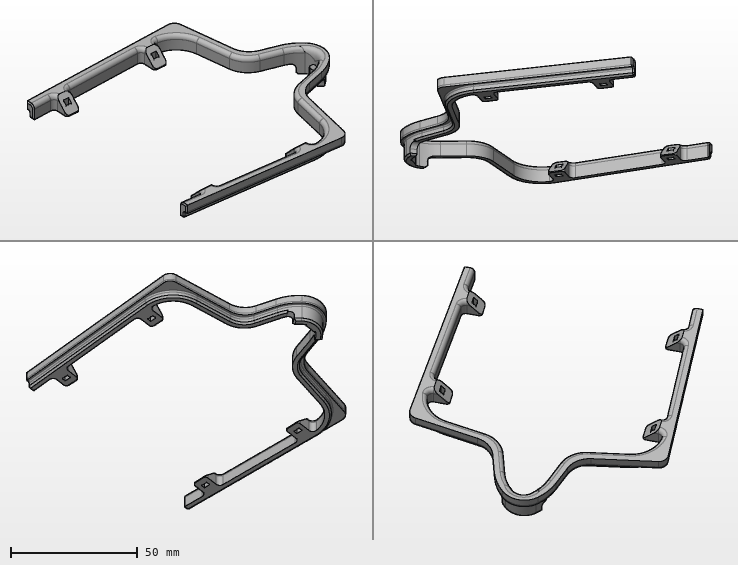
import cadquery as cq
import math

LENGTH = 112.9
WIDTH = 104.5
FLANGE_DEPTH = 4.1
RAIL_DEPTH = 7.0
BOSS_DEPTH = 12.0

LEG_LEAN = 3.0
SHOULDER_SLOPE = 10.0
NECK_SLOPE = 73.0
APEX_HALF_ANGLE = 45.0

RAIL_WIDTH = 4.2
WALL_WIDTH = 2.7
INNER_TOP_FILLET = 1.9
FLANGE_EDGE_HEIGHT = 0.8
FLANGE_EDGE_TAPER = 8.0
WALL_ROOT_FILLET = 0.6
WALL_EDGE_CHAMFER = 0.8
LEG_END_CHAMFER = 0.6

TOLERANCE = 1.13e-06

APEX_RADIUS = 10.2
CROWN_RADIUS = 21.5
VALLEY_RADIUS = 10.2
CORNER_RADIUS = 3.7
CORNER_Y = 80.5
LEG_OVERRUN = 5.6

INNER_VALLEY_RADIUS = 11.6
INNER_CORNER_RADIUS = 12.6

TABS = [(39.1, 62.2), (37.0, 14.8)]
TAB_WIDTH = 6.8
TAB_LENGTH = 13.5
TAB_ROOT_FILLET = 1.9
TAB_TIP_RADIUS = 1.4
TAB_TIP_THICKNESS = 0.5
HOLE_LENGTH = 1.7
HOLE_WIDTH = 2.7
HOLE_SETBACK = 2.8

SCOOP_RADIUS = 5.0
SCOOP_REACH = 2.7
SCOOP_DEPTH = 4.7

BOSS_END_X = 6.4
BOSS_END_Y = 104.3
BOSS_END_TURN = 55.0
BOSS_ROOT_RADIUS = 2.4
BOSS_END_CHAMFER = 0.8
PAD_Y = 107.8
PAD_WIDTH = 5.2
PAD_TOP = 6.4
PAD_SLOPE_HEIGHT = 2.1


def direction(degrees):
    return cq.Vector(math.cos(math.radians(degrees)), math.sin(math.radians(degrees)))


def crossing(point_a, angle_a, point_b, angle_b):
    """Point where two lines, each given by a point and an angle, meet."""
    along_a = direction(angle_a)
    across_b = direction(angle_b + 90)
    return point_a + along_a * ((point_b - point_a).dot(across_b) / along_a.dot(across_b))


def left_half_corners(inset):
    """Sharp corners of the left half outline, leg end to apex, moved inwards by `inset`."""
    apex_radius = APEX_RADIUS - inset
    apex_centre = cq.Vector(0, LENGTH - APEX_RADIUS)
    apex_tangent = apex_centre + direction(90 + APEX_HALF_ANGLE) * apex_radius
    apex = crossing(apex_tangent, APEX_HALF_ANGLE, cq.Vector(), 90)
    half_turn = math.radians(NECK_SLOPE - APEX_HALF_ANGLE) / 2
    crown_tangent_length = (CROWN_RADIUS - inset) * math.tan(half_turn)
    crown = apex_tangent - direction(APEX_HALF_ANGLE) * crown_tangent_length

    corner_turn = math.radians(90 + LEG_LEAN - SHOULDER_SLOPE)
    lean = math.radians(LEG_LEAN)
    corner_overshoot = CORNER_RADIUS * (math.tan(corner_turn / 2) * math.sin(lean) - 1 + math.cos(lean))
    outer_corner = cq.Vector(-WIDTH / 2 - corner_overshoot, CORNER_Y)
    shoulder_point = outer_corner + direction(SHOULDER_SLOPE - 90) * inset
    leg_point = outer_corner + direction(LEG_LEAN) * inset
    leg_angle = 90 + LEG_LEAN

    valley = crossing(shoulder_point, SHOULDER_SLOPE, crown, NECK_SLOPE)
    corner = crossing(shoulder_point, SHOULDER_SLOPE, leg_point, leg_angle)
    leg_end = crossing(leg_point, leg_angle, cq.Vector(0, -LEG_OVERRUN), 0)
    return [leg_end, corner, valley, crown, apex]


def outline(inset, corner_radius, valley_radius):
    """Closed outline of the whole rail, straight across the leg ends."""
    left = left_half_corners(inset)
    left_radii = [corner_radius, valley_radius, CROWN_RADIUS - inset]
    corners = left + [cq.Vector(-p.x, p.y) for p in reversed(left[:-1])]
    radii = left_radii + [APEX_RADIUS - inset] + left_radii[::-1]

    position = corners[0]
    path = cq.Workplane("XY").moveTo(position.x, position.y)
    for before, corner, after, radius in zip(corners, corners[1:], corners[2:], radii):
        back = (before - corner).normalized()
        ahead = (after - corner).normalized()
        half_angle = back.getAngle(ahead) / 2
        tangent_length = radius / math.tan(half_angle)
        start = corner + back * tangent_length
        middle = corner + (back + ahead).normalized() * (radius / math.sin(half_angle) - radius)
        end = corner + ahead * tangent_length
        if (start - position).Length > TOLERANCE:
            path = path.lineTo(start.x, start.y)
        path = path.threePointArc((middle.x, middle.y), (end.x, end.y))
        position = end
    return path.lineTo(corners[-1].x, corners[-1].y).close()


def outer_outline():
    return outline(0, CORNER_RADIUS, VALLEY_RADIUS)


def wall_outline():
    """Outer side of the wall that hangs below the flange."""
    return outline(RAIL_WIDTH - WALL_WIDTH, INNER_CORNER_RADIUS + WALL_WIDTH, INNER_VALLEY_RADIUS - WALL_WIDTH)


def inner_outline():
    return outline(RAIL_WIDTH, INNER_CORNER_RADIUS, INNER_VALLEY_RADIUS)


def copies_on_tabs(solid):
    """Copies of a solid drawn with the tip of a right-hand tab at the origin, one on each tab."""
    copies = cq.Workplane("XY")
    for tip_x, centre_y in TABS:
        right = solid.translate((tip_x, centre_y, 0))
        copies = copies.add(right).add(right.mirror("YZ"))
    return copies.combine()


def is_tab_root(edge):
    """True for the upright edges where the sides of a tab meet its leg."""
    return any(
        abs(abs(edge.Center().y - centre_y) - TAB_WIDTH / 2) < TOLERANCE
        and abs(edge.Center().x) > tip_x + TAB_TIP_RADIUS
        for tip_x, centre_y in TABS
    )


def is_tab_tip(edge):
    """True for edges that lie on the end of a tab."""
    return any(
        abs(edge.Center().y - centre_y) <= TAB_WIDTH / 2 + TOLERANCE
        and abs(abs(edge.Center().x) - tip_x) < TOLERANCE
        for tip_x, centre_y in TABS
    )


def opening():
    """Space inside the rail, with the tabs left standing at full depth."""
    tab = cq.Workplane("XY").box(TAB_LENGTH, TAB_WIDTH, BOSS_DEPTH, centered=(False, True, False))
    space = inner_outline().extrude(-BOSS_DEPTH).cut(copies_on_tabs(tab.translate((0, 0, -BOSS_DEPTH))))
    return space.edges("|Z").filter(is_tab_root).fillet(TAB_ROOT_FILLET)


def flange():
    face_depth = FLANGE_DEPTH - FLANGE_EDGE_HEIGHT
    edge = outer_outline().extrude(-FLANGE_EDGE_HEIGHT, taper=FLANGE_EDGE_TAPER)
    return outer_outline().extrude(-face_depth).union(edge.translate((0, 0, -face_depth)))


def wall(depth):
    return wall_outline().extrude(-depth).faces("<Z").edges().chamfer(WALL_EDGE_CHAMFER)


def boss():
    """Part of the wall around the apex that reaches down to the full depth."""
    root_z = -RAIL_DEPTH - BOSS_ROOT_RADIUS
    left_end = (
        cq.Workplane("YZ")
        .moveTo(LENGTH, -FLANGE_DEPTH)
        .lineTo(LENGTH, -BOSS_DEPTH)
        .lineTo(BOSS_END_CHAMFER, -BOSS_DEPTH)
        .lineTo(0, -BOSS_DEPTH + BOSS_END_CHAMFER)
        .lineTo(0, root_z)
        .radiusArc((-BOSS_ROOT_RADIUS, -RAIL_DEPTH), -BOSS_ROOT_RADIUS)
        .lineTo(-BOSS_ROOT_RADIUS, -FLANGE_DEPTH)
        .close()
        .extrude(WIDTH / 2, both=True)
        .rotate((0, 0, 0), (0, 0, 1), -BOSS_END_TURN)
        .translate((-BOSS_END_X, BOSS_END_Y, 0))
    )
    crown_height = LENGTH - BOSS_END_Y + 2 * BOSS_ROOT_RADIUS
    left_side = cq.Workplane("XY").box(WIDTH / 2, crown_height, 2 * BOSS_DEPTH)
    left_side = left_side.translate((-WIDTH / 4, LENGTH - crown_height / 2, 0))
    left_half = wall(BOSS_DEPTH).intersect(left_end).intersect(left_side)
    return left_half.union(left_half.mirror("YZ"))


def pad():
    """Flat-faced thickening on the inside of the boss, with a sloping top."""
    back_y = LENGTH - RAIL_WIDTH + WALL_WIDTH / 2
    slope_start_y = LENGTH - RAIL_WIDTH
    return (
        cq.Workplane("YZ")
        .moveTo(back_y, -BOSS_DEPTH)
        .lineTo(PAD_Y, -BOSS_DEPTH)
        .lineTo(PAD_Y, -PAD_TOP - PAD_SLOPE_HEIGHT)
        .lineTo(slope_start_y, -PAD_TOP)
        .lineTo(back_y, -PAD_TOP)
        .close()
        .extrude(PAD_WIDTH / 2, both=True)
    )


def round_inner_top(body, space):
    """Round the top edge all along the opening, except across the ends of the tabs."""
    rim = [edge.Center() for edge in space.faces(">Z").edges().vals() if not is_tab_tip(edge)]

    def on_rim(edge):
        return any((edge.Center() - centre).Length < TOLERANCE for centre in rim)

    return body.faces(">Z").edges().filter(on_rim).fillet(INNER_TOP_FILLET)


def apex_scoop():
    """Bell-shaped space that touches the inner face of the apex at its lower rim."""
    centre_y = LENGTH - RAIL_WIDTH - SCOOP_RADIUS
    bell = (
        cq.Workplane("XZ")
        .moveTo(0, -SCOOP_DEPTH)
        .lineTo(SCOOP_RADIUS, -SCOOP_DEPTH)
        .spline([(SCOOP_RADIUS + SCOOP_REACH, 0)], tangents=[(0, 1), (1, 0)], includeCurrent=True)
        .lineTo(0, 0)
        .close()
        .revolve(360, (0, 0, 0), (0, 1, 0))
    )
    return bell.translate((0, centre_y, 0))


def tab_ramps():
    """Material above the 45 degree ramps of the tabs."""
    rise = RAIL_DEPTH - TAB_TIP_THICKNESS
    ramp = (
        cq.Workplane("XZ")
        .polyline([(0, 0), (rise, 0), (0, -rise)])
        .close()
        .extrude(TAB_WIDTH / 2, both=True)
    )
    return copies_on_tabs(ramp)


def tab_holes():
    hole = cq.Workplane("XY").box(HOLE_LENGTH, HOLE_WIDTH, 2 * RAIL_DEPTH, centered=(False, True, True))
    return copies_on_tabs(hole.translate((HOLE_SETBACK, 0, 0)))


def round_wall_root(body):
    """Fill the inside corner between the underside of the flange and the outer side of the wall."""
    rim = [edge.Center() for edge in wall(RAIL_DEPTH).faces(">Z").edges().vals()]
    down = cq.Vector(0, 0, -FLANGE_DEPTH)

    def on_rim(edge):
        return any((edge.Center() - centre - down).Length < TOLERANCE for centre in rim)

    return body.edges().filter(on_rim).fillet(WALL_ROOT_FILLET)


def below_legs():
    """Block that trims everything below y = 0."""
    return cq.Workplane("XY").box(2 * WIDTH, 2 * LEG_OVERRUN, 2 * BOSS_DEPTH).translate((0, -LEG_OVERRUN, 0))


space = opening()
result = round_wall_root(flange().union(wall(RAIL_DEPTH))).union(boss()).cut(space)
result = round_inner_top(result, space).cut(apex_scoop()).union(pad())
result = result.cut(tab_ramps()).edges("|Z").filter(is_tab_tip).fillet(TAB_TIP_RADIUS)
result = result.cut(tab_holes()).cut(below_legs())
result = result.faces("<Y").edges().chamfer(LEG_END_CHAMFER)